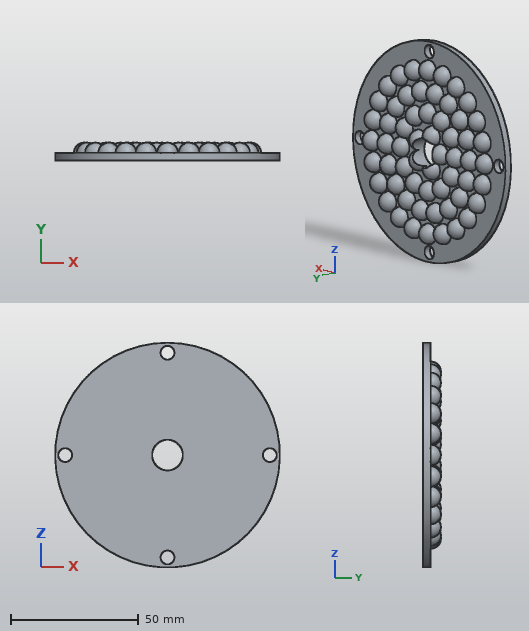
import cadquery as cq
import math

plate_diameter = 88.5
plate_thickness = 3.0
total_depth = 7.12

bore_diameter = 12.0
bolt_hole_diameter = 5.35
bolt_circle_radius = 40.25
bolt_hole_count = 4

dome_radius = total_depth - plate_thickness
inner_ring_radius = 7.0
ring_pitch = 8.58
dome_counts = (5, 12, 18, 24)

back_direction = cq.Vector(0, 1, 0)


def cylinder_along_y(diameter, length, x=0, z=0):
    """Cylinder that starts at Y = 0 and runs toward +Y."""
    return cq.Workplane(cq.Solid.makeCylinder(diameter / 2, length, cq.Vector(x, 0, z), back_direction))


def polar_points(radius, count):
    """Evenly spaced (x, z) points on a circle, the first one on -X."""
    step = 2 * math.pi / count
    return [(-radius * math.cos(i * step), radius * math.sin(i * step)) for i in range(count)]


def make_dome(x, z):
    """Half ball with its flat side on the back face of the plate."""
    center = cq.Vector(x, plate_thickness, z)
    half_ball = cq.Solid.makeSphere(
        dome_radius, center, back_direction, angleDegrees1=0, angleDegrees2=90, angleDegrees3=360
    )
    return cq.Workplane(half_ball)


def add_domes(body):
    for ring, count in enumerate(dome_counts):
        ring_radius = inner_ring_radius + ring * ring_pitch
        for x, z in polar_points(ring_radius, count):
            body = body.union(make_dome(x, z))
    return body


def cut_bore(body):
    """The bore also trims the domes of the innermost ring."""
    return body.cut(cylinder_along_y(bore_diameter, total_depth))


def cut_bolt_holes(body):
    for x, z in polar_points(bolt_circle_radius, bolt_hole_count):
        body = body.cut(cylinder_along_y(bolt_hole_diameter, plate_thickness, x, z))
    return body


plate = cylinder_along_y(plate_diameter, plate_thickness)
domed_plate = add_domes(plate)
bored_plate = cut_bore(domed_plate)
result = cut_bolt_holes(bored_plate)